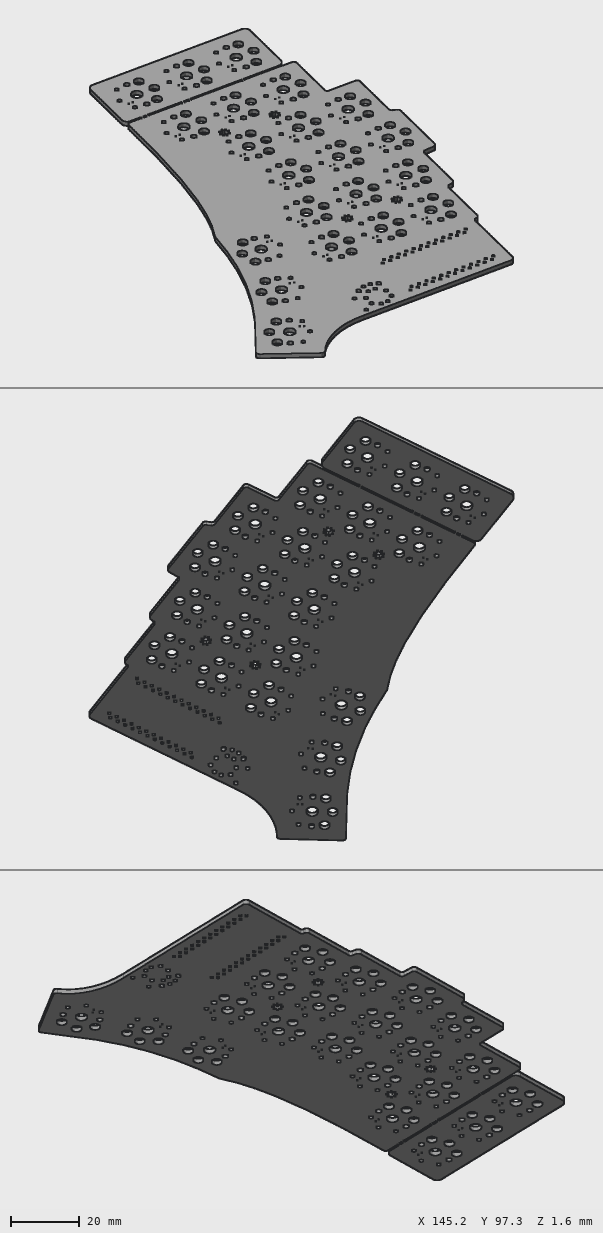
import math

import cadquery as cq

THICKNESS = 1.6

ROW_PITCH = 17.0
ROW_OFFSETS = (-ROW_PITCH, 0.0, ROW_PITCH)
COLUMN_PITCH = 17.97
FIRST_MAIN_COLUMN_X = -41.45
SNAP_OFF_COLUMN_X = -61.92
SNAP_OFF_COLUMN_Y = 4.57
COLUMN_STAGGERS = [ROW_PITCH * share for share in (0.20, 0.65, 0.15, -0.30, -0.15)]

THUMB_COUNT = 3
THUMB_START = (20.56, -21.03)
THUMB_SPACING = 20.43
THUMB_TURN = 10.0
FIRST_THUMB_ANGLE = 170.0

SWITCH_POST_DIAMETER = 3.43
SIDE_POST_DIAMETER = 1.7
SIDE_POST_X = 5.5
SOCKET_DIAMETER = 3.0
SWITCH_PIN_DIAMETER = 1.27
MIDDLE_SOCKET_Y = 5.95
MIDDLE_PIN_Y = 5.9
OUTER_X = 5.0
OUTER_Y = 3.78
KEY_VIA_DIAMETER = 0.3
KEY_VIA_X = 2.6
KEY_VIA_YS = (-3.0, -4.35)

MOUNT_CENTRES = [(-32.85, -0.45), (-32.45, 16.5), (21.05, 25.1), (21.15, 8.1)]
MOUNT_DIAMETER = 2.2
MOUNT_VIA_COUNT = 8
MOUNT_VIA_DIAMETER = 0.4
MOUNT_VIA_RADIUS = 1.45

HEADER_TOP = (43.66, 34.6)
HEADER_PIN_DIAMETER = 0.81
HEADER_PIN_COUNT = 12
HEADER_PITCH = 2.54
HEADER_ROW_SPACING = 15.24
HEADER_STAGGER = (1.3, -1.2)

JACK_Y = -4.12
JACK_PIN_DIAMETER = 1.3
JACK_PIN_OFFSET_Y = 3.43
JACK_PIN_XS = (52.5, 52.8, 56.65, 59.7)
JACK_POST_DIAMETER = 1.2
JACK_POST_OFFSET_Y = 1.14
JACK_POST_XS = (51.62, 54.3, 61.3)
RESET_PIN_DIAMETER = 1.2
RESET_PINS = [(55.1, -10.5), (61.55, -10.5)]

STRIP_LEFT = -72.585
STRIP_RIGHT = -51.95
STRIP_HEIGHT = 54.5
STRIP_CORNER_RADIUS = 1.8
PLATE_LEFT = -51.38
BRIDGE_LENGTH = 0.8
BRIDGE_OVERLAP = 0.2
BRIDGE_YS = (17.6, -0.7, -3.0, -15.2, -16.9)

PLATE_RIGHT = 63.45
STEP_TOPS = (35.1, 46.05, 48.655, 43.8, 41.0, 39.15)
LOWER_LEFT = (PLATE_LEFT, -22.25)
LOWER_EDGE_KINK = (8.6, -29.3)
THUMB_LOWER_CORNER = (62.85, -49.04)
THUMB_UPPER_CORNER = (72.94, -31.65)
SIDE_CURVE_START = (PLATE_RIGHT, -12.6)

SIDE_CURVE_MIDDLE = (65.9, -24.0)
SIDE_CURVE_DIRECTIONS = [(0.0, -1.0), (0.87, -0.5)]
THUMB_CURVE_MIDDLES = [(46.4, -39.35), (29.9, -32.85)]
THUMB_CURVE_DIRECTIONS = [(-0.87, 0.5), (-1.0, 0.08)]
PALM_CURVE_MIDDLES = [(-8.45, -24.5), (-26.7, -22.7)]
PALM_CURVE_DIRECTIONS = [(-0.9, 0.42), (-1.0, 0.0)]

STEP_CORNERS = [
    (PLATE_LEFT, STEP_TOPS[0], 1.0),
    (-34.05, STEP_TOPS[0], 0.8),
    (-34.05, STEP_TOPS[1], 1.0),
    (-16.6, STEP_TOPS[1], 1.0),
    (-15.5, STEP_TOPS[2], 1.0),
    (4.85, STEP_TOPS[2], 1.0),
    (5.2, STEP_TOPS[3], 0.8),
    (22.6, STEP_TOPS[3], 1.3),
    (23.2, STEP_TOPS[4], 0.8),
    (40.6, STEP_TOPS[4], 1.0),
    (41.0, STEP_TOPS[5], 0.6),
    (PLATE_RIGHT, STEP_TOPS[5], 1.3),
]
LOWER_CORNERS = [
    (*LOWER_LEFT, 0.8),
    (*THUMB_LOWER_CORNER, 1.05),
    (*THUMB_UPPER_CORNER, 1.0),
]


def rounded(plate, corners):
    """Round the upright edge at each (x, y, radius) corner."""
    for x, y, radius in corners:
        nearest = cq.selectors.NearestToPointSelector((x, y, THICKNESS / 2))
        plate = plate.edges("|Z").edges(nearest).fillet(radius)
    return plate


def main_plate():
    stepped_edge = [(x, y) for x, y, _ in STEP_CORNERS]
    outline = (
        cq.Workplane("XY")
        .polyline([LOWER_LEFT] + stepped_edge + [SIDE_CURVE_START])
        .spline(
            [SIDE_CURVE_MIDDLE, THUMB_UPPER_CORNER],
            tangents=SIDE_CURVE_DIRECTIONS,
            includeCurrent=True,
        )
        .lineTo(*THUMB_LOWER_CORNER)
        .spline(
            THUMB_CURVE_MIDDLES + [LOWER_EDGE_KINK],
            tangents=THUMB_CURVE_DIRECTIONS,
            includeCurrent=True,
        )
        .spline(
            PALM_CURVE_MIDDLES + [LOWER_LEFT],
            tangents=PALM_CURVE_DIRECTIONS,
            includeCurrent=True,
        )
        .close()
    )
    return rounded(outline.extrude(THICKNESS), STEP_CORNERS + LOWER_CORNERS)


def snap_off_strip():
    width = STRIP_RIGHT - STRIP_LEFT
    return (
        cq.Workplane("XY")
        .center(STRIP_LEFT + width / 2, SNAP_OFF_COLUMN_Y)
        .rect(width, STRIP_HEIGHT)
        .extrude(THICKNESS)
        .edges("|Z")
        .fillet(STRIP_CORNER_RADIUS)
    )


def bridges():
    """Short webs across the slot that hold the strip to the main plate."""
    middle = (STRIP_RIGHT + PLATE_LEFT) / 2
    length_x = PLATE_LEFT - STRIP_RIGHT + 2 * BRIDGE_OVERLAP
    return (
        cq.Workplane("XY")
        .pushPoints([(middle, y) for y in BRIDGE_YS])
        .rect(length_x, BRIDGE_LENGTH)
        .extrude(THICKNESS)
    )


def grid_keys():
    """(x, y, angle) of every key in the six columns."""
    x, y = FIRST_MAIN_COLUMN_X, SNAP_OFF_COLUMN_Y
    columns = [(SNAP_OFF_COLUMN_X, SNAP_OFF_COLUMN_Y)]
    for stagger in COLUMN_STAGGERS:
        y += stagger
        columns.append((x, y))
        x += COLUMN_PITCH
    return [(cx, cy + offset, 0.0) for cx, cy in columns for offset in ROW_OFFSETS]


def thumb_keys():
    """(x, y, angle) of the thumb keys; each step heads midway between its two keys."""
    x, y = THUMB_START
    angle = FIRST_THUMB_ANGLE
    keys = []
    for _ in range(THUMB_COUNT):
        keys.append((x, y, angle))
        heading = math.radians(angle - 180 - THUMB_TURN / 2)
        x += THUMB_SPACING * math.cos(heading)
        y += THUMB_SPACING * math.sin(heading)
        angle -= THUMB_TURN
    return keys


def placed(points, key):
    """Move points from a key's own axes to the board's."""
    key_x, key_y, angle = key
    cosine = math.cos(math.radians(angle))
    sine = math.sin(math.radians(angle))
    return [(key_x + x * cosine - y * sine, key_y + x * sine + y * cosine) for x, y in points]


def drilled(plate, points, diameter):
    drills = cq.Workplane("XY").pushPoints(points).circle(diameter / 2).extrude(THICKNESS)
    return plate.cut(drills)


def with_key_holes(plate):
    outer_xs = (-OUTER_X, OUTER_X)
    sockets = [(0, MIDDLE_SOCKET_Y)] + [(x, OUTER_Y) for x in outer_xs]
    pins = [(0, -MIDDLE_PIN_Y)] + [(x, -OUTER_Y) for x in outer_xs]
    key_holes = [
        (SWITCH_POST_DIAMETER, [(0, 0)]),
        (SIDE_POST_DIAMETER, [(-SIDE_POST_X, 0), (SIDE_POST_X, 0)]),
        (SOCKET_DIAMETER, sockets),
        (SWITCH_PIN_DIAMETER, pins),
        (KEY_VIA_DIAMETER, [(KEY_VIA_X, y) for y in KEY_VIA_YS]),
    ]
    keys = grid_keys() + thumb_keys()
    for diameter, points in key_holes:
        board_points = [point for key in keys for point in placed(points, key)]
        plate = drilled(plate, board_points, diameter)
    return plate


def with_mounting_holes(plate):
    via_points = []
    for x, y in MOUNT_CENTRES:
        for index in range(MOUNT_VIA_COUNT):
            angle = 2 * math.pi * index / MOUNT_VIA_COUNT
            via_x = x + MOUNT_VIA_RADIUS * math.cos(angle)
            via_y = y + MOUNT_VIA_RADIUS * math.sin(angle)
            via_points.append((via_x, via_y))
    plate = drilled(plate, MOUNT_CENTRES, MOUNT_DIAMETER)
    return drilled(plate, via_points, MOUNT_VIA_DIAMETER)


def with_header_holes(plate):
    left, top = HEADER_TOP
    shift_x, shift_y = HEADER_STAGGER
    points = []
    for row_x in (left, left + HEADER_ROW_SPACING):
        for index in range(HEADER_PIN_COUNT):
            y = top - index * HEADER_PITCH
            points.append((row_x, y))
            points.append((row_x + shift_x, y + shift_y))
    return drilled(plate, points, HEADER_PIN_DIAMETER)


def with_jack_and_reset_holes(plate):
    for side in (-1, 1):
        for x in JACK_PIN_XS:
            plate = drilled(plate, [(x, JACK_Y + side * JACK_PIN_OFFSET_Y)], JACK_PIN_DIAMETER)
        posts = [(x, JACK_Y + side * JACK_POST_OFFSET_Y) for x in JACK_POST_XS]
        plate = drilled(plate, posts, JACK_POST_DIAMETER)
    return drilled(plate, RESET_PINS, RESET_PIN_DIAMETER)


board = main_plate().union(snap_off_strip()).union(bridges())
board = with_key_holes(board)
board = with_mounting_holes(board)
board = with_header_holes(board)
result = with_jack_and_reset_holes(board)